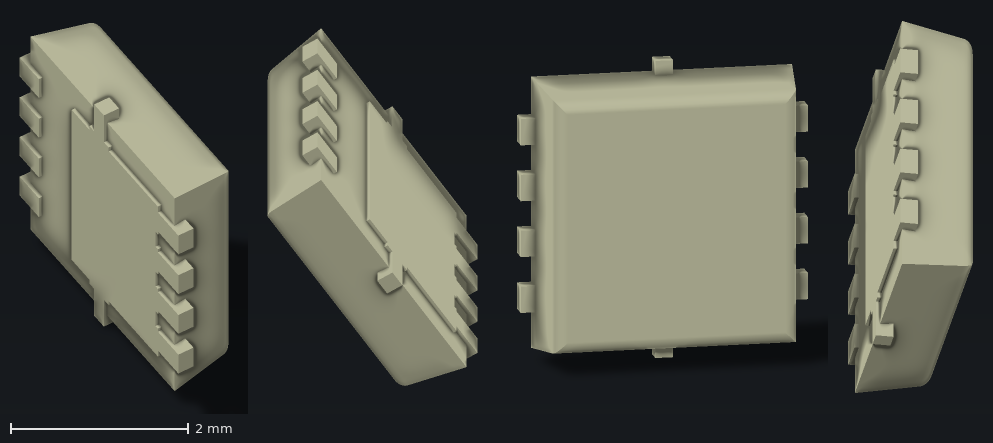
import cadquery as cq

overall_width = 3.3
overall_length = 3.45
overall_height = 0.9
standoff = 0.05
metal_thickness = 0.205

base_width = 3.0
base_length = 3.15
draft_angle = 8.0
top_edge_radius = 0.15

lead_count = 4
lead_pitch = 0.65
lead_width = 0.307
lead_length = 0.4

plate_left = -0.57
plate_right = 1.225
plate_length = 2.45
shoulder_width = 0.4
shoulder_height = 0.062
tie_bar_width = 0.205
notch_width = 0.24
notch_depth = 0.05

half_width = overall_width / 2
housing_height = overall_height - standoff


def centred_positions(count):
    """Z positions of evenly pitched features, symmetric about Z = 0."""
    return [(i - (count - 1) / 2) * lead_pitch for i in range(count)]


def metal_block(x_min, x_max, z_centre, z_size):
    """Rectangular piece of the metal sheet, from the solder plane inward."""
    return (
        cq.Workplane("XY")
        .box(x_max - x_min, metal_thickness, z_size, centered=False)
        .translate((x_min, 0, z_centre - z_size / 2))
    )


def make_source_lead(z_centre):
    """Separate lead at the -X side."""
    return metal_block(-half_width, -half_width + lead_length, z_centre, lead_width)


def make_drain_plate():
    """Plate with fused leads at +X, edge notches and a tie bar at each Z end."""
    plate = metal_block(plate_left, plate_right, 0, plate_length)
    shoulder_length = plate_length + 2 * shoulder_height
    plate = plate.union(metal_block(-shoulder_width / 2, shoulder_width / 2, 0, shoulder_length))
    plate = plate.union(metal_block(-tie_bar_width / 2, tie_bar_width / 2, 0, overall_length))
    for z_centre in centred_positions(lead_count):
        plate = plate.union(metal_block(0, half_width, z_centre, lead_width))
    for z_centre in centred_positions(lead_count - 1):
        plate = plate.cut(metal_block(plate_right - notch_depth, plate_right, z_centre, notch_width))
    return plate


def make_housing(metal_parts):
    """Drafted block with rounded top edges and a matching recess for each metal part."""
    housing = (
        cq.Workplane("XZ", origin=(0, standoff, 0))
        .rect(base_width, base_length)
        .extrude(-housing_height, taper=draft_angle)
        .faces(">Y")
        .edges()
        .fillet(top_edge_radius)
    )
    for part in metal_parts:
        housing = housing.cut(part)
    return housing


source_leads = [make_source_lead(z_centre) for z_centre in centred_positions(lead_count)]
drain_plate = make_drain_plate()
housing = make_housing([drain_plate, *source_leads])

result = cq.Compound.makeCompound(
    [housing.val(), drain_plate.val(), *[lead.val() for lead in source_leads]]
)